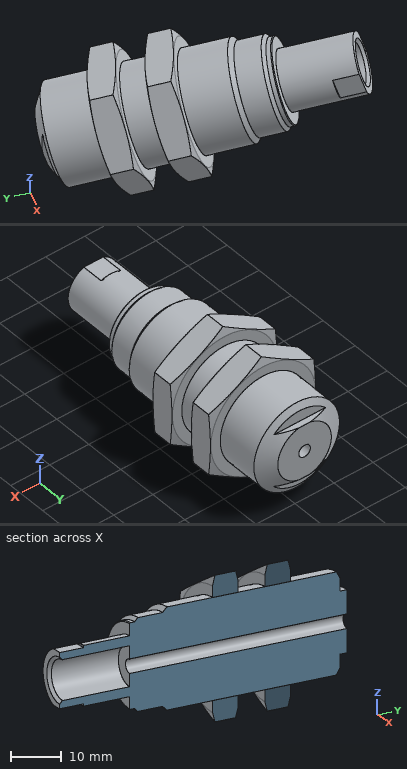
import cadquery as cq
import math

total_length = 66.0

body_radius = 22.0 / 2
head_end_radius = 6.85
head_cone_length = 2.45
head_flat_distance = 13.45
head_flat_length = 1.5

shoulder_start = 24.6
neck_radius = 20.0 / 2
shoulder_length = 1.0
neck_end = 17.95
collar_radius = 18.5 / 2
collar_chamfer = 0.2
tail_radius = 13.0 / 2
tail_length = 16.05
tail_flat_distance = 12.0
tail_flat_length = 5.5

bore_diameter = 8.6
bore_chamfer = 0.65
bore_depth = tail_length
channel_diameter = 3.0

nut_width = 27.0
nut_thickness = 6.0
nut_face_diameter = 26.8
nut_chamfer_angle = 15.0
nut_starts = [35.05, 47.05]


def revolve_profile(points):
    """Turn a profile of (radius, Y) points around the Y axis."""
    return cq.Workplane("XY").polyline(points).close().revolve(360, (0, 0, 0), (0, 1, 0))


def cylinder(diameter, start, length):
    """Make a cylinder along +Y that starts at the given Y."""
    plane = cq.Workplane("XZ", origin=(0, start, 0))
    return plane.circle(diameter / 2).extrude(-length)


def cut_flats(body, distance, start, length):
    """Cut two parallel flats, facing +Z and -Z, over a stretch of the body."""
    slab_height = body_radius
    for side in (1, -1):
        slab_z = side * (distance + slab_height) / 2
        slab = cq.Workplane("XY").box(2 * body_radius, length, slab_height)
        body = body.cut(slab.translate((0, start + length / 2, slab_z)))
    return body


def make_housing():
    """Stepped round body with flats at both ends and a stepped axial hole."""
    housing = revolve_profile([
        (0, 0),
        (tail_radius, 0),
        (tail_radius, tail_length),
        (collar_radius - collar_chamfer, tail_length),
        (collar_radius, tail_length + collar_chamfer),
        (collar_radius, neck_end - (neck_radius - collar_radius)),
        (neck_radius, neck_end),
        (neck_radius, shoulder_start - shoulder_length),
        (body_radius, shoulder_start),
        (body_radius, total_length - head_cone_length),
        (head_end_radius, total_length),
        (0, total_length),
    ])
    housing = cut_flats(housing, head_flat_distance, total_length - head_flat_length, head_flat_length)
    housing = cut_flats(housing, tail_flat_distance, 0, tail_flat_length)

    bore_radius = bore_diameter / 2
    bore = revolve_profile([
        (0, 0),
        (bore_radius + bore_chamfer, 0),
        (bore_radius, bore_chamfer),
        (bore_radius, bore_depth),
        (0, bore_depth),
    ])
    channel = cylinder(channel_diameter, 0, total_length)
    return housing.cut(bore).cut(channel)


def make_nut(start):
    """Hexagon nut with corners on +Z and -Z, chamfered on both faces."""
    corner_radius = nut_width / math.sqrt(3)
    face_radius = nut_face_diameter / 2
    chamfer_length = (corner_radius - face_radius) * math.tan(math.radians(nut_chamfer_angle))
    end = start + nut_thickness

    plane = cq.Workplane("XZ", origin=(0, start, 0))
    hexagon = plane.transformed(rotate=(0, 0, 90)).polygon(6, 2 * corner_radius).extrude(-nut_thickness)
    chamfered_disc = revolve_profile([
        (0, start),
        (face_radius, start),
        (corner_radius, start + chamfer_length),
        (corner_radius, end - chamfer_length),
        (face_radius, end),
        (0, end),
    ])
    hole = cylinder(2 * body_radius, start, nut_thickness)
    return hexagon.intersect(chamfered_disc).cut(hole)


housing = make_housing()
nuts = [make_nut(start) for start in nut_starts]

result = cq.Compound.makeCompound([housing.val(), *[nut.val() for nut in nuts]])